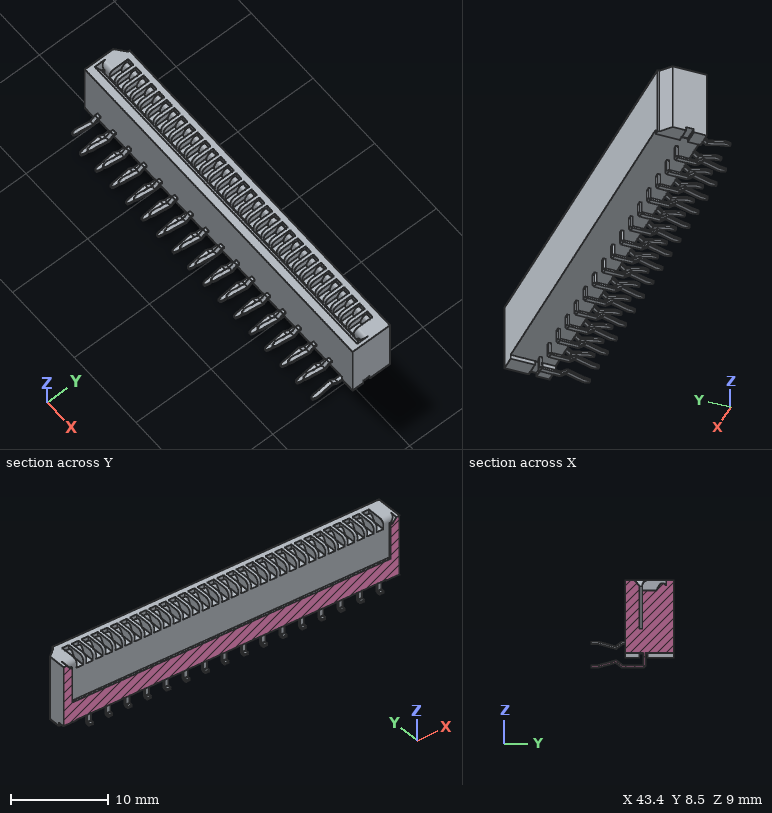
import cadquery as cq
import math

BODY_LENGTH = 43.4
BODY_DEPTH = 5.0
BODY_HEIGHT = 8.0
KEY_LENGTH = 1.2
KEY_DEPTH = 1.2
KEY_STEP = 0.22

FOOT_LENGTH = 1.72
FOOT_HEIGHT = 0.5
FOOT_SLOT_HEIGHT = 0.42
FOOT_SLOT_FRONT = 1.45
FOOT_SLOT_WIDTH = 0.85

MOUTH_END_WALL = 0.44
MOUTH_FRONT = 0.98
LEAD_IN = 0.5
RIM_RADIUS = 0.62
THROAT_FRONT = MOUTH_FRONT + LEAD_IN
THROAT_REAR = 1.74
THROAT_LEDGE = 0.22
SLOT_FLOOR = 3.0
MOUTH_LENGTH = BODY_LENGTH - 2 * MOUTH_END_WALL
MOUTH_FLOOR_LENGTH = MOUTH_LENGTH - 2 * LEAD_IN
THROAT_LENGTH = MOUTH_FLOOR_LENGTH - 2 * THROAT_LEDGE

CONTACT_COUNT = 32
PITCH = 1.25
CAVITY_WIDTH = 0.84
CAVITY_REAR = 4.22
CAVITY_FLOOR = 6.95
CONTACT_WIDTH = 0.76
CONTACT_FRONT = 3.2
CONTACT_SLOPE = 60
CONTACT_RADIUS = 0.38
CONTACT_ROOT = 0.5

PIN_WIDTH = 0.5
PIN_THICKNESS = 0.25
PIN_REACH = 3.5
PIN_TIP_LENGTH = 0.45
PIN_TIP_WIDTH = 0.28
FIRST_BEND = 0.3
KINK = 0.95
LAST_BEND = 2.8
KINK_RISE = 0.5
UPPER_ROW_Z = 1.55
LOWER_ROW_Z = PIN_THICKNESS / 2 - 1.0
LOWER_STEM_Y = 1.98
ELBOW_CUT = 0.12
PIN_ROOT = 0.5


def block(x_range, y_range, z_range):
    """Axis-aligned box between the given limits."""
    size = [high - low for low, high in (x_range, y_range, z_range)]
    return cq.Workplane("XY").box(*size, centered=False).translate((x_range[0], y_range[0], z_range[0]))


def centred_extrusion(profile, width):
    """Extrude a YZ profile symmetrically about X = 0."""
    return profile.extrude(width / 2, both=True)


def housing_block():
    left = -BODY_LENGTH / 2
    right = BODY_LENGTH / 2
    outline = [
        (left, 0),
        (right, 0),
        (right, BODY_DEPTH),
        (left + KEY_LENGTH, BODY_DEPTH),
        (left + KEY_LENGTH, BODY_DEPTH - KEY_STEP),
        (left, BODY_DEPTH - KEY_DEPTH),
    ]
    return cq.Workplane("XY").polyline(outline).close().extrude(BODY_HEIGHT)


def underside_cuts():
    """Raised underside between the feet, and the slot through both feet."""
    inner = BODY_LENGTH / 2 - FOOT_LENGTH
    outer = BODY_LENGTH / 2
    recess = block((-inner, inner), (0, BODY_DEPTH), (0, FOOT_HEIGHT))
    slot_range = (FOOT_SLOT_FRONT, FOOT_SLOT_FRONT + FOOT_SLOT_WIDTH)
    return recess.union(block((-outer, outer), slot_range, (0, FOOT_SLOT_HEIGHT)))


def card_slot():
    """Narrow throat below a mouth with a bevelled front, bevelled ends and rounded rear rim."""
    bevel_bottom = BODY_HEIGHT - RIM_RADIUS
    arc_reach = RIM_RADIUS * math.sqrt(0.5)
    rim_profile = (
        cq.Workplane("YZ")
        .moveTo(MOUTH_FRONT, BODY_HEIGHT)
        .lineTo(THROAT_FRONT, bevel_bottom)
        .lineTo(THROAT_REAR, bevel_bottom)
        .threePointArc(
            (THROAT_REAR + RIM_RADIUS - arc_reach, bevel_bottom + arc_reach),
            (THROAT_REAR + RIM_RADIUS, BODY_HEIGHT),
        )
        .close()
    )
    end_bevels = (
        cq.Workplane("XZ")
        .polyline([
            (-MOUTH_LENGTH / 2, BODY_HEIGHT),
            (-MOUTH_FLOOR_LENGTH / 2, bevel_bottom),
            (MOUTH_FLOOR_LENGTH / 2, bevel_bottom),
            (MOUTH_LENGTH / 2, BODY_HEIGHT),
        ])
        .close()
        .extrude(-BODY_DEPTH)
    )
    mouth = centred_extrusion(rim_profile, MOUTH_LENGTH).intersect(end_bevels)
    throat = block(
        (-THROAT_LENGTH / 2, THROAT_LENGTH / 2),
        (THROAT_FRONT, THROAT_REAR),
        (SLOT_FLOOR, bevel_bottom),
    )
    return mouth.union(throat)


def cavity():
    return block(
        (-CAVITY_WIDTH / 2, CAVITY_WIDTH / 2),
        (THROAT_REAR, CAVITY_REAR),
        (CAVITY_FLOOR, BODY_HEIGHT),
    )


def spring_contact():
    """Contact with a sloping front and a rounded top, standing at the cavity's rear wall."""
    slope = math.radians(CONTACT_SLOPE)
    centre_y = CAVITY_REAR - CONTACT_RADIUS
    tangent_y = centre_y - CONTACT_RADIUS * math.sin(slope)
    tangent_z = CAVITY_FLOOR + (tangent_y - CONTACT_FRONT) * math.tan(slope)
    centre_z = tangent_z - CONTACT_RADIUS * math.cos(slope)
    profile = (
        cq.Workplane("YZ")
        .moveTo(CAVITY_REAR, CAVITY_FLOOR - CONTACT_ROOT)
        .lineTo(CONTACT_FRONT, CAVITY_FLOOR - CONTACT_ROOT)
        .lineTo(CONTACT_FRONT, CAVITY_FLOOR)
        .lineTo(tangent_y, tangent_z)
        .threePointArc((centre_y, centre_z + CONTACT_RADIUS), (CAVITY_REAR, centre_z))
        .close()
    )
    return centred_extrusion(profile, CONTACT_WIDTH)


def terminal_plan():
    """Outline seen from above, narrowed at the free end, as a tall prism."""
    half = PIN_WIDTH / 2
    half_tip = PIN_TIP_WIDTH / 2
    taper_y = PIN_TIP_LENGTH - PIN_REACH
    outline = [
        (-half, BODY_DEPTH),
        (-half, taper_y),
        (-half_tip, -PIN_REACH),
        (half_tip, -PIN_REACH),
        (half, taper_y),
        (half, BODY_DEPTH),
    ]
    return cq.Workplane("XY").polyline(outline).close().extrude(BODY_HEIGHT, both=True)


def direction(start, end):
    """Unit vector from one YZ point to another."""
    length = math.dist(start, end)
    return ((end[0] - start[0]) / length, (end[1] - start[1]) / length)


def terminal_strip(centre_line):
    """Terminal following a YZ centre line with mitred bends, cut to the tapered plan outline."""
    directions = [direction(start, end) for start, end in zip(centre_line, centre_line[1:])]
    incoming = directions[:1] + directions
    outgoing = directions + directions[-1:]
    one_side = []
    other_side = []
    for (y, z), (in_y, in_z), (out_y, out_z) in zip(centre_line, incoming, outgoing):
        mitre = PIN_THICKNESS / 2 / (1 + in_y * out_y + in_z * out_z)
        shift_y = -(in_z + out_z) * mitre
        shift_z = (in_y + out_y) * mitre
        one_side.append((y + shift_y, z + shift_z))
        other_side.append((y - shift_y, z - shift_z))
    profile = cq.Workplane("YZ").polyline(one_side + other_side[::-1]).close()
    return centred_extrusion(profile, PIN_WIDTH).intersect(terminal_plan())


def free_end(row_z, kink_z):
    """Centre line of the kinked part in front of the housing."""
    return [
        (-FIRST_BEND, row_z),
        (-KINK, kink_z),
        (-LAST_BEND, row_z),
        (-PIN_REACH, row_z),
    ]


def upper_terminal():
    root = [(PIN_ROOT, UPPER_ROW_Z)]
    return terminal_strip(root + free_end(UPPER_ROW_Z, UPPER_ROW_Z - KINK_RISE))


def lower_terminal():
    root = [
        (LOWER_STEM_Y, FOOT_HEIGHT + PIN_ROOT),
        (LOWER_STEM_Y, LOWER_ROW_Z + ELBOW_CUT),
        (LOWER_STEM_Y - ELBOW_CUT, LOWER_ROW_Z),
    ]
    return terminal_strip(root + free_end(LOWER_ROW_Z, LOWER_ROW_Z + KINK_RISE))


def at_positions(shape, indices):
    """Copies of a shape at the given contact positions, as one compound."""
    first_x = -PITCH * (CONTACT_COUNT - 1) / 2
    copies = [shape.val().translate(cq.Vector(first_x + i * PITCH, 0, 0)) for i in indices]
    return cq.Compound.makeCompound(copies)


every_position = range(CONTACT_COUNT)
upper_positions = range(0, CONTACT_COUNT, 2)
lower_positions = range(1, CONTACT_COUNT, 2)

housing = housing_block().cut(underside_cuts()).cut(card_slot())
housing = housing.cut(at_positions(cavity(), every_position))

result = (
    housing
    .union(at_positions(spring_contact(), every_position))
    .union(at_positions(upper_terminal(), upper_positions))
    .union(at_positions(lower_terminal(), lower_positions))
)